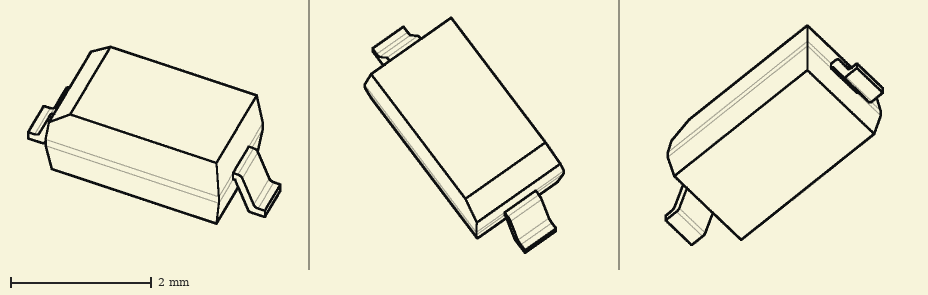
import cadquery as cq
import math

TOTAL_LENGTH = 3.7
TOTAL_HEIGHT = 1.35

LEAD_THICKNESS = 0.137

BAND_LENGTH = 2.71
BAND_WIDTH = 1.55
BAND_TOP = 0.72
BAND_BOTTOM = BAND_TOP - LEAD_THICKNESS
HOUSING_BOTTOM = 0.045
TAPER_INSET = 0.065

CUT_TOP_X = -1.0
CUT_LOW_X = -1.32
CUT_LOW_Z = 1.065

LEAD_WIDTH = 0.55
LEAD_ANGLE = 70.0
BEND_RADIUS = 0.075
HEEL_RADIUS = 0.055
FOOT_TOP_LENGTH = 0.155


def tapered_half(start_z, end_z):
    """Frustum from the full band outline to the inset end face."""
    return (
        cq.Workplane("XY")
        .workplane(offset=start_z)
        .rect(BAND_LENGTH, BAND_WIDTH)
        .workplane(offset=end_z - start_z)
        .rect(BAND_LENGTH - 2 * TAPER_INSET, BAND_WIDTH - 2 * TAPER_INSET)
        .loft(ruled=True)
    )


def edge_cut():
    """Wedge removed above the sloped plane, extended past the housing."""
    slope = (TOTAL_HEIGHT - CUT_LOW_Z) / (CUT_TOP_X - CUT_LOW_X)
    outer_x = -TOTAL_LENGTH / 2
    outer_z = CUT_LOW_Z - slope * (CUT_LOW_X - outer_x)
    return (
        cq.Workplane("XZ")
        .moveTo(CUT_TOP_X, TOTAL_HEIGHT)
        .lineTo(outer_x, outer_z)
        .lineTo(outer_x, TOTAL_HEIGHT)
        .close()
        .extrude(BAND_WIDTH / 2, both=True)
    )


def make_housing():
    band = (
        cq.Workplane("XY")
        .workplane(offset=BAND_BOTTOM)
        .rect(BAND_LENGTH, BAND_WIDTH)
        .extrude(BAND_TOP - BAND_BOTTOM)
    )
    upper = tapered_half(BAND_TOP, TOTAL_HEIGHT)
    lower = tapered_half(BAND_BOTTOM, HOUSING_BOTTOM)
    return band.union(upper).union(lower).cut(edge_cut())


def make_lead():
    """Lead on the -X side, from its foot up to the housing band."""
    angle = math.radians(LEAD_ANGLE)
    tip_x = -TOTAL_LENGTH / 2
    root_x = -BAND_LENGTH / 2
    run = BAND_BOTTOM / math.tan(angle)
    corner_shift = LEAD_THICKNESS * math.tan(angle / 2)
    foot_corner_x = tip_x + FOOT_TOP_LENGTH
    heel_x = foot_corner_x + corner_shift
    shoulder_x = foot_corner_x + run
    underside_x = heel_x + run
    lead = (
        cq.Workplane("XZ")
        .moveTo(tip_x, 0)
        .lineTo(heel_x, 0)
        .lineTo(underside_x, BAND_BOTTOM)
        .lineTo(root_x, BAND_BOTTOM)
        .lineTo(root_x, BAND_TOP)
        .lineTo(shoulder_x, BAND_TOP)
        .lineTo(foot_corner_x, LEAD_THICKNESS)
        .lineTo(tip_x, LEAD_THICKNESS)
        .close()
        .extrude(LEAD_WIDTH / 2, both=True)
    )
    heel = cq.selectors.NearestToPointSelector((heel_x, 0, 0))
    foot_bend = cq.selectors.NearestToPointSelector((foot_corner_x, 0, LEAD_THICKNESS))
    shoulder = cq.selectors.NearestToPointSelector((shoulder_x, 0, BAND_TOP))
    lead = lead.edges("|Y").edges(heel).fillet(HEEL_RADIUS)
    for bend in (foot_bend, shoulder):
        lead = lead.edges("|Y").edges(bend).fillet(BEND_RADIUS)
    return lead


housing = make_housing()
lead = make_lead()
leads = [lead.rotate((0, 0, 0), (0, 0, 1), turn) for turn in (0, 180)]

result = cq.Compound.makeCompound([housing.val(), *[item.val() for item in leads]])